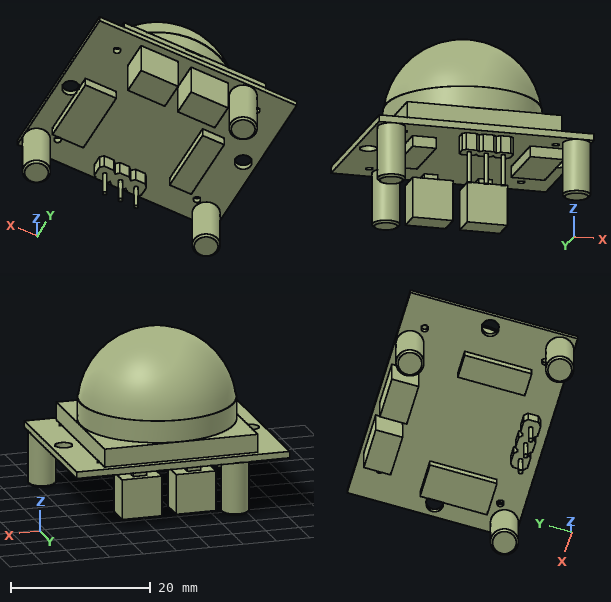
import cadquery as cq

BOARD_LENGTH = 32.0
BOARD_WIDTH = 25.0
BOARD_THICKNESS = 1.0
MOUNT_HOLE_DIAMETER = 2.5
MOUNT_HOLE_X = 14.0
TAB_HOLE_DIAMETER = 1.0
TAB_HOLE_X = 11.3
TAB_HOLE_Y = 9.0

LENS_BASE_SIDE = 23.0
LENS_BASE_TOP = 3.7
LENS_DIAMETER = 22.85
DRUM_TOP = 6.95
DOME_TOP = 17.1

LEG_DIAMETER = 4.0
LEG_LENGTH = 8.0
LEG_CHAMFER = 0.3
LEG_CENTERS = [(-13.6, -10.5), (14.0, -10.4), (-8.45, 10.35)]

PIN_COUNT = 3
PIN_PITCH = 2.54
PIN_DIAMETER = 0.6
PIN_LENGTH = 7.0
HEADER_CENTER = (0.77, -9.65)
HEADER_HEIGHT = 2.5
HEADER_CORNER = 0.5

TRIMMER_SIZE = 6.0
TRIMMER_DEPTH = 4.0
TRIMMER_CENTERS_X = [-2.08, 6.03]
TRIMMER_FRONT_Y = 8.05
TRIMMER_GAP = 1.0
TRIMMER_FOOT_WIDTH = 2.0

CHIP_HEIGHT = 1.6
CHIP_LENGTH = 10.0
CHIP_CENTER_Y = -2.5
NARROW_CHIP_WIDTH = 3.5
NARROW_CHIP_MIN_X = -9.57
WIDE_CHIP_WIDTH = 5.0
WIDE_CHIP_MIN_X = 7.95


def box_below(width, depth, height, center_x, center_y, top=0.0):
    """Box hanging down from the level top."""
    box = cq.Workplane("XY").box(width, depth, height, centered=(True, True, False))
    return box.translate((center_x, center_y, top - height))


def make_board():
    mount_holes = [(side * MOUNT_HOLE_X, 0) for side in (-1, 1)]
    tab_holes = [(sx * TAB_HOLE_X, sy * TAB_HOLE_Y) for sx in (-1, 1) for sy in (-1, 1)]
    board = cq.Workplane("XY").rect(BOARD_LENGTH, BOARD_WIDTH).extrude(BOARD_THICKNESS)
    top = board.faces(">Z").workplane()
    board = top.pushPoints(mount_holes).hole(MOUNT_HOLE_DIAMETER)
    top = board.faces(">Z").workplane(origin=(0, 0, BOARD_THICKNESS))
    return top.pushPoints(tab_holes).hole(TAB_HOLE_DIAMETER)


def make_lens():
    base_height = LENS_BASE_TOP - BOARD_THICKNESS
    base = cq.Workplane("XY").workplane(offset=BOARD_THICKNESS)
    base = base.rect(LENS_BASE_SIDE, LENS_BASE_SIDE).extrude(base_height)
    radius = LENS_DIAMETER / 2
    drum = cq.Workplane("XY").workplane(offset=LENS_BASE_TOP)
    drum = drum.circle(radius).extrude(DRUM_TOP - LENS_BASE_TOP)
    dome = cq.Workplane("XY").sphere(radius).translate((0, 0, DOME_TOP - radius))
    above_base = cq.Workplane("XY").workplane(offset=LENS_BASE_TOP)
    above_base = above_base.rect(LENS_BASE_SIDE, LENS_BASE_SIDE).extrude(DOME_TOP)
    return base.union(drum).union(dome.intersect(above_base))


def make_legs():
    legs = cq.Workplane("XY").pushPoints(LEG_CENTERS).circle(LEG_DIAMETER / 2).extrude(-LEG_LENGTH)
    return legs.faces("<Z").edges().chamfer(LEG_CHAMFER)


def make_header():
    header = cq.Workplane("XY")
    for index in range(PIN_COUNT):
        x = HEADER_CENTER[0] + (index - (PIN_COUNT - 1) / 2) * PIN_PITCH
        y = HEADER_CENTER[1]
        housing = box_below(PIN_PITCH, PIN_PITCH, HEADER_HEIGHT, x, y)
        housing = housing.edges("|Z").chamfer(HEADER_CORNER)
        pin = cq.Workplane("XY").center(x, y).circle(PIN_DIAMETER / 2).extrude(-PIN_LENGTH)
        header = header.add(housing.union(pin))
    return header.combine()


def make_trimmer(center_x):
    center_y = TRIMMER_FRONT_Y + TRIMMER_DEPTH / 2
    body = box_below(TRIMMER_SIZE, TRIMMER_DEPTH, TRIMMER_SIZE, center_x, center_y, -TRIMMER_GAP)
    foot = box_below(TRIMMER_FOOT_WIDTH, TRIMMER_FOOT_WIDTH, TRIMMER_GAP, center_x, center_y)
    return body.union(foot)


def make_chip(min_x, width):
    return box_below(width, CHIP_LENGTH, CHIP_HEIGHT, min_x + width / 2, CHIP_CENTER_Y)


result = make_board().union(make_lens()).union(make_legs()).union(make_header())
for trimmer_x in TRIMMER_CENTERS_X:
    result = result.union(make_trimmer(trimmer_x))
result = result.union(make_chip(NARROW_CHIP_MIN_X, NARROW_CHIP_WIDTH))
result = result.union(make_chip(WIDE_CHIP_MIN_X, WIDE_CHIP_WIDTH))